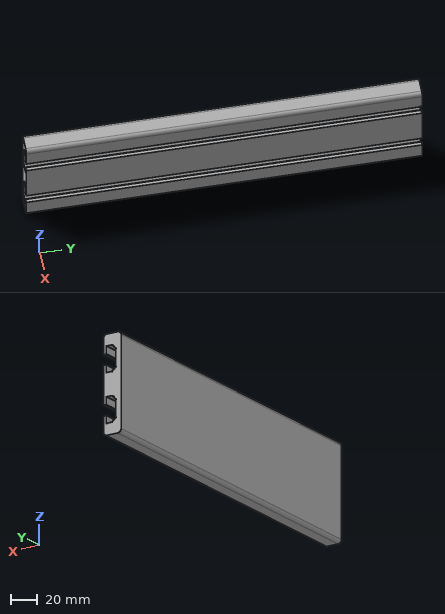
import cadquery as cq

length = 300.0
width = 16.0
height = 80.0
edge_radius = 3.0

slot_pitch = height / 2
slot_opening = 8.5
slot_depth = 11.0
lip_thickness = 2.85
cavity_height = 21.0
cavity_chamfer = 3.3

face_x = width / 2
cavity_depth = slot_depth - lip_thickness


def make_bar():
    """Solid bar with its four long edges rounded."""
    return cq.Workplane("XY").box(width, length, height).edges("|Y").fillet(edge_radius)


def make_slot(center_z):
    """Full-length T-slot: a cavity with chamfered floor corners, behind a narrower opening."""
    cavity_x = face_x - lip_thickness - cavity_depth / 2
    cavity = (
        cq.Workplane("XY")
        .box(cavity_depth, length, cavity_height)
        .faces("<X").edges("|Y")
        .chamfer(cavity_chamfer)
        .translate((cavity_x, 0, center_z))
    )
    opening = (
        cq.Workplane("XY")
        .box(slot_depth, length, slot_opening)
        .translate((face_x - slot_depth / 2, 0, center_z))
    )
    return cavity.union(opening)


result = make_bar()
for side in (-1, 1):
    result = result.cut(make_slot(side * slot_pitch / 2))